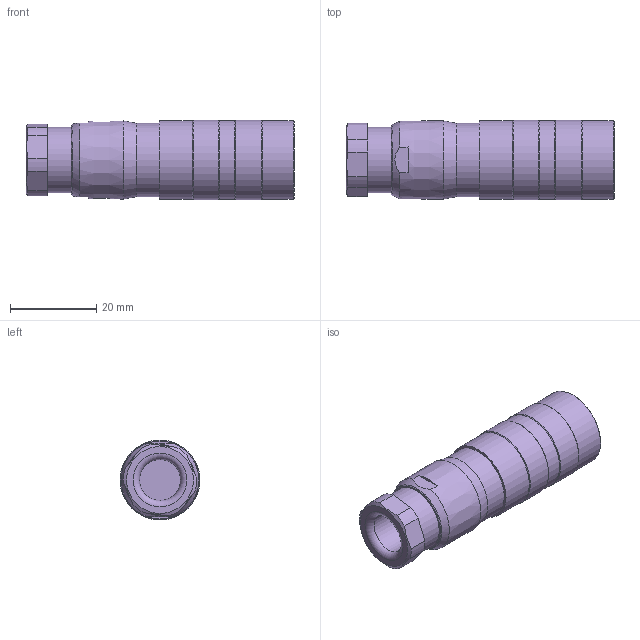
import cadquery as cq
import math

nut_end = 4.9
body_start = 10.5
body_cone_end = 12.4
flat_end = 14.4
body_rear = 22.7
waist_start = 25.5
shell_start = 30.9
ring_starts = (38.5, 48.4)
ring_width = 6.35
length = 62.1

nut_diameter = 17.0
nut_face_diameter = 15.5
neck_diameter = 15.2
body_rim_diameter = 16.4
body_front_diameter = 18.0
body_rear_diameter = 18.15
waist_diameter = 17.0
shell_diameter = 18.15
ring_diameter = 18.5
bore_diameter = 9.5

nut_across_flats = 16.0
nut_hex_angle = 67.3
nut_chamfer_angle = 30.0
hexagon_sides = 6

body_across_flats = 17.0
bore_depth = 20.0
bore_mouth_radius = 1.5
edge_chamfer = 0.2


def turned(points):
    """Revolve a closed (x, radius) outline about the X axis."""
    return cq.Workplane("XY").polyline(points).close().revolve(360, (0, 0, 0), (1, 0, 0))


def disc(start, end, diameter):
    """Plain cylinder between two X stations."""
    return cq.Workplane("YZ").workplane(offset=start).circle(diameter / 2).extrude(end - start)


def make_nut():
    """Chamfered round blank trimmed to a hexagon with rounded corners."""
    outer_radius = nut_diameter / 2
    face_radius = nut_face_diameter / 2
    chamfer_length = (outer_radius - face_radius) * math.tan(math.radians(nut_chamfer_angle))
    blank = turned([
        (0, 0),
        (0, face_radius),
        (chamfer_length, outer_radius),
        (nut_end, outer_radius),
        (nut_end, 0),
    ])
    corner_diameter = nut_across_flats / math.cos(math.pi / hexagon_sides)
    hexagon = cq.Workplane("YZ").polygon(hexagon_sides, corner_diameter).extrude(nut_end)
    hexagon = hexagon.rotate((0, 0, 0), (1, 0, 0), nut_hex_angle)
    return blank.intersect(hexagon)


def make_body():
    """Tapered clamp body with a coned front, narrowing to the waist at the rear."""
    rim_radius = body_rim_diameter / 2
    body = turned([
        (body_start, 0),
        (body_start, rim_radius - edge_chamfer),
        (body_start + edge_chamfer, rim_radius),
        (body_cone_end, body_front_diameter / 2),
        (body_rear, body_rear_diameter / 2),
        (waist_start, waist_diameter / 2),
        (shell_start, waist_diameter / 2),
        (shell_start, 0),
    ])
    return cut_wrench_flats(body)


def cut_wrench_flats(body):
    """Cut two opposite flats, facing +Z and -Z, into the front of the body."""
    flat_length = flat_end - body_start
    cut_height = body_rear_diameter - body_across_flats
    for side in (1, -1):
        cutter = cq.Workplane("XY").box(flat_length, body_rear_diameter, cut_height)
        cutter = cutter.translate((
            body_start + flat_length / 2,
            0,
            side * (body_across_flats + cut_height) / 2,
        ))
        body = body.cut(cutter)
    return body


def make_shell():
    """Cylindrical shell with a broken rear edge and two raised, chamfered rings."""
    shell = disc(shell_start, length, shell_diameter).faces(">X").chamfer(edge_chamfer)
    for start in ring_starts:
        ring = disc(start, start + ring_width, ring_diameter)
        shell = shell.union(ring.faces("<X or >X").chamfer(edge_chamfer))
    return shell


def make_bore():
    """Blind cable bore with a quarter-round mouth."""
    radius = bore_diameter / 2
    mouth = bore_mouth_radius
    arc_offset = mouth * (1 - math.sqrt(0.5))
    return (
        cq.Workplane("XY")
        .moveTo(0, 0)
        .lineTo(0, radius + mouth)
        .threePointArc((arc_offset, radius + arc_offset), (mouth, radius))
        .lineTo(bore_depth, radius)
        .lineTo(bore_depth, 0)
        .close()
        .revolve(360, (0, 0, 0), (1, 0, 0))
    )


neck = disc(nut_end, body_start, neck_diameter)
result = make_nut().union(neck).union(make_body()).union(make_shell()).cut(make_bore())